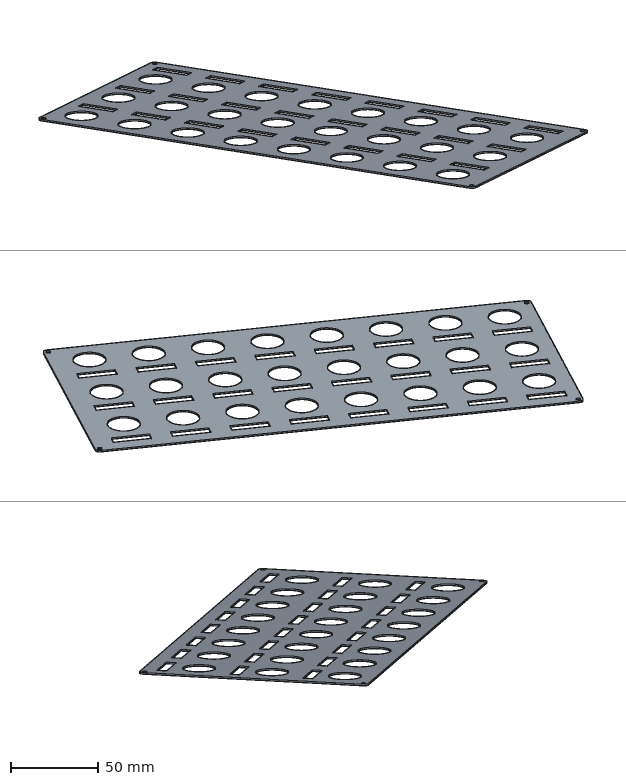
import cadquery as cq

length = 287.0
width = 135.0
thickness = 1.0
corner_radius = 3.0

mount_diameter = 2.55

columns = 8
rows = 3
grid_length = 244.2
column_pitch = grid_length / (columns - 1)
row_pitch = 43.0
left_margin = 19.2
front_margin = 17.8
hole_diameter = 19.0
slot_length = 22.5
slot_width = 5.7
slot_offset = 19.2

first_x = left_margin - length / 2
first_y = front_margin - width / 2
hole_centers = [
    (first_x + column * column_pitch, first_y + row * row_pitch)
    for row in range(rows)
    for column in range(columns)
]
slot_centers = [(x, y + slot_offset) for x, y in hole_centers]


def make_plate():
    """Flat rectangular plate with rounded corners, resting on Z = 0."""
    plate = cq.Workplane("XY").rect(length, width).extrude(thickness)
    return plate.edges("|Z").fillet(corner_radius)


def mount_hole_cutters():
    """One small cylinder at the centre of each corner arc."""
    return (
        cq.Workplane("XY")
        .rect(length - 2 * corner_radius, width - 2 * corner_radius, forConstruction=True)
        .vertices()
        .circle(mount_diameter / 2)
        .extrude(thickness)
    )


def round_hole_cutters():
    """One cylinder per station."""
    return cq.Workplane("XY").pushPoints(hole_centers).circle(hole_diameter / 2).extrude(thickness)


def slot_cutters():
    """One rectangular block per station, centred behind its round hole."""
    return cq.Workplane("XY").pushPoints(slot_centers).rect(slot_length, slot_width).extrude(thickness)


result = make_plate().cut(mount_hole_cutters()).cut(round_hole_cutters()).cut(slot_cutters())